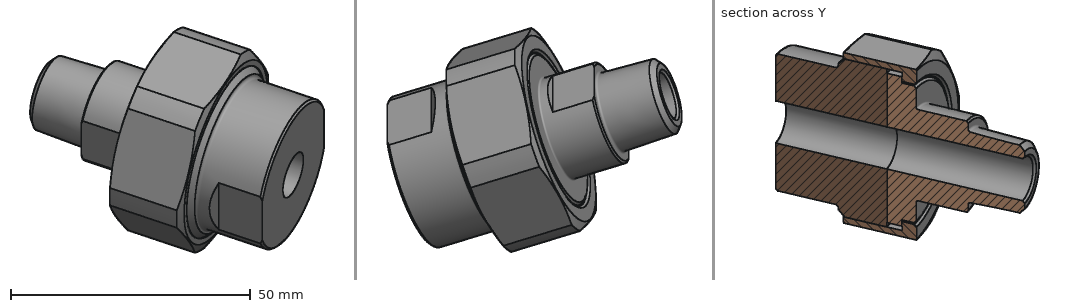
import cadquery as cq
import math


LENGTH = 57.5
THREAD_END = 12.55
NECK_START = 13.05
NUT_START = 24.95
NUT_END = 41.9
HUB_FACE = 25.0
LIP_END = 28.4
JOINT = 31.85
COLLAR_CONE_START = 41.7
COLLAR_END = 43.05

BORE_DIAMETER = 10.0
JOINT_DIAMETER = 37.85

BORE_CHAMFER = 0.5
TIP_CHAMFER_LENGTH = 1.15
TIP_FACE_DIAMETER = 13.8
THREAD_TIP_DIAMETER = 16.4
THREAD_TAPER = 1 / 16
NECK_DIAMETER = 22.0
NECK_CHAMFER_RADIAL = 0.5
NECK_CHAMFER_AXIAL = 0.35
ROOT_FILLET = 0.4
HUB_DIAMETER = 33.0
HUB_CHAMFER = 0.5
FLANGE_DIAMETER = 36.0
NECK_FLAT_WIDTH = 19.0
NECK_FLAT_END = 22.35
NECK_FLAT_RUNOUT_ANGLE = 70.0

ACROSS_FLATS = 41.0
CORNER_DIAMETER = 44.7
NUT_FACE_DIAMETER = 40.5
NUT_CHAMFER_DEPTH = 0.75
LIP_DIAMETER = 33.5
LIP_CHAMFER = 0.5

SOCKET_DIAMETER = 33.0
SOCKET_FILLET = 0.7
SOCKET_CHAMFER = 0.45
BODY_FLAT_WIDTH = 30.0
BODY_FLAT_START = 47.5
BODY_FLAT_RUNOUT_ANGLE = 45.0


def revolve_about_x(profile):
    """Revolve a closed profile, drawn as X against radius, about the X axis."""
    return profile.close().revolve(360, (0, 0, 0), (1, 0, 0))


def cut_flats(solid, width, deep_end, open_end, runout_angle, diameter):
    """Cut two flats across Y from open_end to deep_end, with sloping run-out walls."""
    depth = diameter / 2
    runout = (depth - width / 2) / math.tan(math.radians(runout_angle))
    direction = 1 if deep_end > open_end else -1
    for side in (-1, 1):
        cutter = (
            cq.Workplane("XY")
            .moveTo(open_end, side * width / 2)
            .lineTo(deep_end, side * width / 2)
            .lineTo(deep_end + direction * runout, side * depth)
            .lineTo(open_end, side * depth)
            .close()
            .extrude(diameter / 2, both=True)
        )
        solid = solid.cut(cutter)
    return solid


def make_tailpiece():
    bore = BORE_DIAMETER / 2
    thread_tip = THREAD_TIP_DIAMETER / 2
    thread_root = thread_tip + (THREAD_END - TIP_CHAMFER_LENGTH) * THREAD_TAPER / 2
    thread_fillet = NECK_START - THREAD_END
    neck = NECK_DIAMETER / 2
    hub = HUB_DIAMETER / 2
    flange = FLANGE_DIAMETER / 2
    profile = (
        cq.Workplane("XY")
        .moveTo(0, bore + BORE_CHAMFER)
        .lineTo(0, TIP_FACE_DIAMETER / 2)
        .lineTo(TIP_CHAMFER_LENGTH, thread_tip)
        .lineTo(THREAD_END, thread_root)
        .radiusArc((NECK_START, thread_root + thread_fillet), -thread_fillet)
        .lineTo(NECK_START, neck - NECK_CHAMFER_RADIAL)
        .lineTo(NECK_START + NECK_CHAMFER_AXIAL, neck)
        .lineTo(HUB_FACE - ROOT_FILLET, neck)
        .radiusArc((HUB_FACE, neck + ROOT_FILLET), -ROOT_FILLET)
        .lineTo(HUB_FACE, hub - HUB_CHAMFER)
        .lineTo(HUB_FACE + HUB_CHAMFER, hub)
        .lineTo(LIP_END, hub)
        .lineTo(LIP_END, flange)
        .lineTo(JOINT, flange)
        .lineTo(JOINT, bore)
        .lineTo(BORE_CHAMFER, bore)
    )
    return cut_flats(
        revolve_about_x(profile),
        NECK_FLAT_WIDTH, NECK_FLAT_END, NECK_START, NECK_FLAT_RUNOUT_ANGLE, NECK_DIAMETER,
    )


def make_nut():
    lip = LIP_DIAMETER / 2
    thread = JOINT_DIAMETER / 2
    face = NUT_FACE_DIAMETER / 2
    corner = CORNER_DIAMETER / 2
    ring = revolve_about_x(
        cq.Workplane("XY")
        .moveTo(NUT_START, lip + LIP_CHAMFER)
        .lineTo(NUT_START, face)
        .lineTo(NUT_START + NUT_CHAMFER_DEPTH, corner)
        .lineTo(NUT_END - NUT_CHAMFER_DEPTH, corner)
        .lineTo(NUT_END, face)
        .lineTo(NUT_END, thread)
        .lineTo(LIP_END, thread)
        .lineTo(LIP_END, lip)
        .lineTo(NUT_START + LIP_CHAMFER, lip)
    )
    hexagon = (
        cq.Workplane("YZ", origin=(NUT_START, 0, 0))
        .polygon(6, ACROSS_FLATS / math.cos(math.radians(30)))
        .extrude(NUT_END - NUT_START)
    )
    return ring.intersect(hexagon)


def make_body():
    bore = BORE_DIAMETER / 2
    collar = JOINT_DIAMETER / 2
    socket = SOCKET_DIAMETER / 2
    cone_drop = COLLAR_END - COLLAR_CONE_START
    profile = (
        cq.Workplane("XY")
        .moveTo(JOINT, bore)
        .lineTo(JOINT, collar)
        .lineTo(COLLAR_CONE_START, collar)
        .lineTo(COLLAR_END, collar - cone_drop)
        .lineTo(COLLAR_END, socket + SOCKET_FILLET)
        .radiusArc((COLLAR_END + SOCKET_FILLET, socket), -SOCKET_FILLET)
        .lineTo(LENGTH - SOCKET_CHAMFER, socket)
        .lineTo(LENGTH, socket - SOCKET_CHAMFER)
        .lineTo(LENGTH, bore)
    )
    return cut_flats(
        revolve_about_x(profile),
        BODY_FLAT_WIDTH, BODY_FLAT_START, LENGTH, BODY_FLAT_RUNOUT_ANGLE, SOCKET_DIAMETER,
    )


tailpiece = make_tailpiece()
nut = make_nut()
body = make_body()

result = cq.Compound.makeCompound([tailpiece.val(), nut.val(), body.val()])